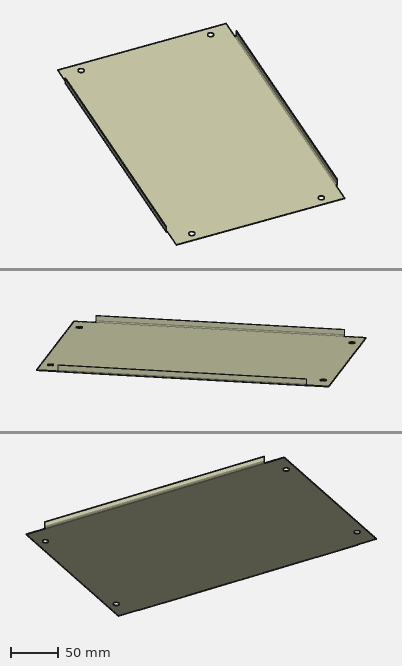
import cadquery as cq

length = 317.0
width_over_lips = 199.0
height = 8.0
thickness = 1.0
inner_bend_radius = 1.0
outer_bend_radius = inner_bend_radius + thickness

lip_length = 269.8
hole_diameter = 6.5
hole_spacing_x = 295.8
hole_spacing_y = 150.0

plate_width = width_over_lips - 2 * outer_bend_radius


def make_plate():
    """Flat plate resting on Z = 0, with a mounting hole near each corner."""
    return (
        cq.Workplane("XY")
        .box(length, plate_width, thickness, centered=(True, True, False))
        .faces(">Z")
        .workplane()
        .rect(hole_spacing_x, hole_spacing_y, forConstruction=True)
        .vertices()
        .hole(hole_diameter)
    )


def make_front_lip():
    """Quarter-round bend and upright lip along the -Y side of the plate."""
    bend_start = -plate_width / 2
    outer_face = -width_over_lips / 2
    inner_face = outer_face + thickness
    return (
        cq.Workplane("YZ")
        .moveTo(bend_start, 0)
        .radiusArc((outer_face, outer_bend_radius), outer_bend_radius)
        .lineTo(outer_face, height)
        .lineTo(inner_face, height)
        .lineTo(inner_face, outer_bend_radius)
        .radiusArc((bend_start, thickness), -inner_bend_radius)
        .close()
        .extrude(lip_length / 2, both=True)
    )


front_lip = make_front_lip()
back_lip = front_lip.mirror("XZ")
result = make_plate().union(front_lip).union(back_lip)